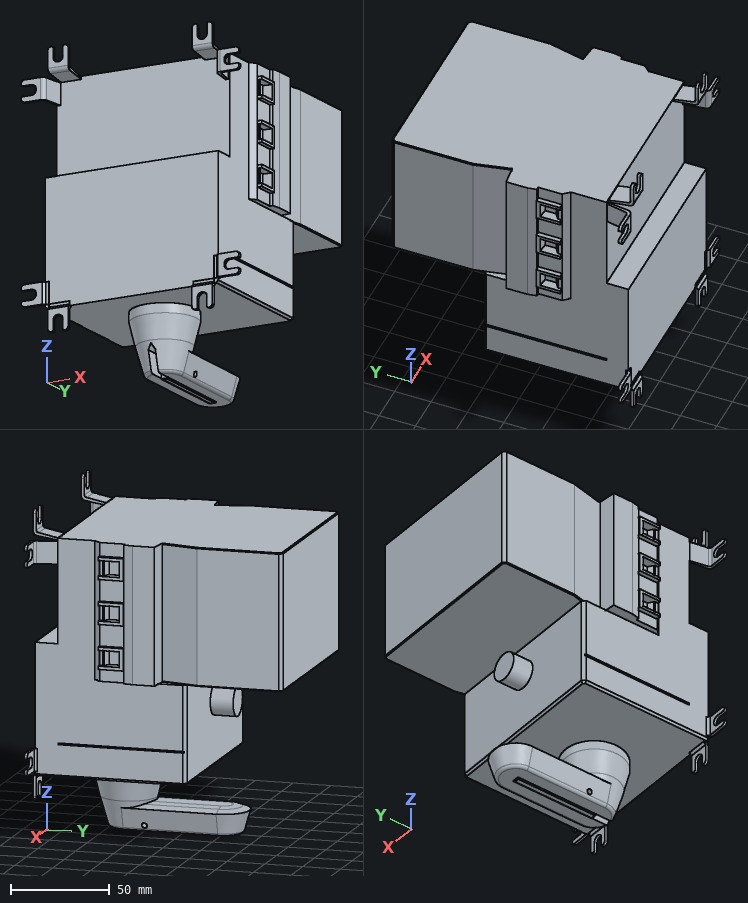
import cadquery as cq


overlap = 1.7

body_half_width = 50.0
body_top = 124.1
lower_back = 1.7
lower_front = 81.7
step_height = 69.4
upper_back = 13.8
corner_chamfer = 1.7
bottom_chamfer = 1.2

module_bottom = 52.1
module_height = body_top - module_bottom
cover_front = 132.5
cover_taper_start = 87.4
cover_taper_end = 67.7
cover_neck_half_width = 45.8
cover_edge_chamfer = 0.5
ledge_half_width = 55.8
ledge_front = 66.6
ledge_slope_start = 54.9
ledge_slope_half_width = 54.9
recess_front = 50.0
recess_back = 37.0
recess_half_width = 53.2
ledge_back = 33.5

terminal_count = 3
terminal_pitch = 23.3
terminal_height = 11.5
first_terminal_bottom = 58.9
frame_wall = 1.7
frame_front_wall = 1.9
pocket_front_slant = 0.9
ramp_front = 41.3
ramp_back = 39.4
shallow_floor = 53.3
sill_front = 38.8
sill_half_width = 53.9
deep_floor = 50.6

groove_height = 17.5
groove_width = 0.7
groove_depth = 0.5
groove_back = 14.0

button_diameter = 16.2
button_height = 34.4
button_front = 93.7

handle_y = 36.3
knob_radius = 18.1
collar_height = 5.2
waist_radius = 15.0
waist_z = -18.1
cone_height = 29.2
cone_end_radius = 10.4
handle_bottom = -(collar_height + cone_height)
handle_fillet = 2.0
lever_tip_y = 86.3
lever_top = -22.1
lever_length = lever_tip_y - handle_y
crown_height = 2.5
crown_run = 9.2
crown_mid_height = 1.7
crown_mid_run = 4.5
tab_width = 4.0
tab_bottom = -35.0
tab_chamfer = 0.5
slot_shoulder = -22.8
slot_apex = -19.7
lock_hole_diameter = 2.8
lock_hole_y = 47.8
lock_hole_z = -31.0

bracket_corner_x = 47.7
bracket_top_corner = 122.2
bracket_bottom_corner = 2.5
bracket_reach = 15.4
bracket_width = 11.9
bracket_thickness = 1.7
fork_gap = 5.5
fork_depth = 8.6
prong_outer_radius = 1.9
prong_inner_radius = 0.9
bracket_embed = 0.9
upper_leg_thickness = 1.2
upper_leg_rise = 2.0
upper_bend_radius = 2.5
upper_inner_radius = 1.4
lower_bend_start = 3.1
lower_foot_back = 1.4
lower_foot_slant = 1.7
lower_bend_offset = 0.7


def box(x0, x1, y0, y1, z0, z1):
    return cq.Workplane("XY").box(x1 - x0, y1 - y0, z1 - z0, centered=False).translate((x0, y0, z0))


def both_sides(shape):
    return shape.union(shape.mirror("YZ"))


def symmetric_prism(half_outline):
    """Upright prism of the upper module from the +X half of its outline."""
    mirrored = [(-x, y) for x, y in reversed(half_outline)]
    outline = cq.Workplane("XY", origin=(0, 0, module_bottom)).polyline(half_outline + mirrored)
    return outline.close().extrude(module_height)


def casing():
    lower = box(-body_half_width, body_half_width, lower_back, lower_front, 0, module_bottom)
    lower = lower.edges("|Z and >Y").chamfer(corner_chamfer)
    lower = lower.faces("<Z").edges("not <Y").chamfer(bottom_chamfer)
    upper_front = ledge_front - overlap
    step = box(-body_half_width, body_half_width, lower_back, upper_front, module_bottom, step_height)
    upper = box(-body_half_width, body_half_width, upper_back, upper_front, step_height, body_top)
    return lower.union(step).union(upper)


def cover():
    shape = symmetric_prism([
        (cover_neck_half_width, cover_taper_end),
        (body_half_width, cover_taper_start),
        (body_half_width, cover_front),
    ])
    shape = shape.edges("|Z and >Y").chamfer(corner_chamfer)
    return shape.edges("#Z except <Y").chamfer(cover_edge_chamfer)


def ledges():
    return symmetric_prism([
        (body_half_width, ledge_back),
        (recess_half_width, recess_back),
        (recess_half_width, recess_front),
        (ledge_slope_half_width, recess_front),
        (ledge_half_width, ledge_slope_start),
        (ledge_half_width, ledge_front),
        (cover_neck_half_width, cover_taper_end),
    ])


def terminal_frame(bottom):
    return box(recess_half_width - overlap, ledge_half_width, recess_back, recess_front,
               bottom, bottom + terminal_height)


def terminal_pocket(bottom):
    """Pocket with a deep floor, a ramp and a shallow floor open to the back."""
    outside = ledge_half_width + overlap
    floor = [
        (outside, recess_front - frame_front_wall),
        (deep_floor, recess_front - frame_front_wall - pocket_front_slant),
        (deep_floor, ramp_front),
        (shallow_floor, ramp_back),
        (shallow_floor, sill_front),
        (sill_half_width, sill_front),
        (sill_half_width, recess_back - overlap),
        (outside, recess_back - overlap),
    ]
    plane = cq.Workplane("XY", origin=(0, 0, bottom + frame_wall))
    return plane.polyline(floor).close().extrude(terminal_height - 2 * frame_wall)


def groove():
    return box(body_half_width - groove_depth, body_half_width + overlap, groove_back, lower_front + overlap,
               groove_height - groove_width / 2, groove_height + groove_width / 2)


def button():
    plane = cq.Workplane("XZ", origin=(0, button_front, button_height))
    return plane.circle(button_diameter / 2).extrude(button_front - lower_front + overlap)


def cone_radius(z):
    slope = (waist_radius - cone_end_radius) / (waist_z - handle_bottom)
    return cone_end_radius + slope * (z - handle_bottom)


def lever_layer(bottom, bottom_radius, top, top_radius, bend=None):
    """Round-ended layer of the lever; its flank is straight, or bent at the bend point."""

    def section(plane):
        outline = plane.moveTo(0, bottom).lineTo(bottom_radius, bottom)
        if bend:
            outline = outline.lineTo(*bend)
        return outline.lineTo(top_radius, top).lineTo(0, top).close()

    end = section(cq.Workplane("XZ")).revolve(360, (0, 0, 0), (0, 1, 0))
    half_bar = section(cq.Workplane("XZ", origin=(0, lever_tip_y, 0))).extrude(lever_length)
    ends = end.translate((0, handle_y, 0)).union(end.translate((0, lever_tip_y, 0)))
    return ends.union(both_sides(half_bar))


def handle():
    profile = [
        (0, overlap),
        (knob_radius, overlap),
        (knob_radius, -collar_height),
        (waist_radius, waist_z),
        (cone_end_radius, handle_bottom),
        (0, handle_bottom),
    ]
    knob = cq.Workplane("XZ").polyline(profile).close().revolve(360, (0, 0, 0), (0, 1, 0))
    knob = knob.translate((0, handle_y, 0))
    top_radius = cone_radius(lever_top)
    lever = lever_layer(handle_bottom, cone_end_radius, lever_top, top_radius)
    crown_bend = (top_radius - crown_mid_run, lever_top + crown_mid_height)
    crown = lever_layer(lever_top, top_radius, lever_top + crown_height, top_radius - crown_run, crown_bend)
    shape = knob.union(lever).union(crown)
    shape = shape.faces("<Z").edges().fillet(handle_fillet)
    slot_half = tab_width / 2
    slot_profile = [
        (-slot_half, tab_bottom),
        (slot_half, tab_bottom),
        (slot_half, slot_shoulder),
        (0, slot_apex),
        (-slot_half, slot_shoulder),
    ]
    slot = cq.Workplane("XZ", origin=(0, handle_y, 0)).polyline(slot_profile).close().extrude(knob_radius)
    tab = box(-slot_half, slot_half, handle_y, lever_tip_y, tab_bottom, lever_top)
    tab = tab.faces("<Z").edges().chamfer(tab_chamfer)
    hole = cq.Workplane("YZ", origin=(0, lock_hole_y, lock_hole_z)).circle(lock_hole_diameter / 2)
    return shape.cut(slot).union(tab).cut(hole.extrude(knob_radius, both=True))


def upper_bracket_section():
    """Plate with a sloping leg that reaches the set-in back of the upper module."""
    outer_bend = (upper_leg_rise, 0, bracket_width / 2)
    inner_bend = (upper_leg_rise + bracket_thickness, bracket_thickness, bracket_width / 2)
    leg_end = upper_back + bracket_embed
    section = cq.Workplane("XY").polyline([
        (bracket_reach, 0),
        (bracket_reach, bracket_thickness),
        inner_bend[:2],
        (upper_leg_thickness, leg_end),
        (0, leg_end),
        outer_bend[:2],
    ]).close().extrude(bracket_width)
    section = section.edges(cq.selectors.NearestToPointSelector(outer_bend)).fillet(upper_bend_radius)
    return section.edges(cq.selectors.NearestToPointSelector(inner_bend)).fillet(upper_inner_radius)


def lower_bracket_section():
    """Plate with a short slanted foot let into the back of the lower casing."""
    foot_end = lower_back + 2 * bracket_embed
    return cq.Workplane("XY").polyline([
        (bracket_reach, 0),
        (bracket_reach, bracket_thickness),
        (lower_bend_start + lower_bend_offset, bracket_thickness),
        (lower_bend_start + lower_bend_offset - lower_foot_slant, foot_end),
        (0, foot_end),
        (0, lower_foot_back),
        (lower_bend_start - lower_foot_back, lower_foot_back),
        (lower_bend_start, 0),
    ]).close().extrude(bracket_width)


def forked(bracket):
    """Cut the open slot and round the prongs of a bracket that reaches along +X."""
    bracket = bracket.edges("|Y and >X").fillet(prong_outer_radius)
    slot_length = 2 * fork_depth
    slot = cq.Workplane("XZ", origin=(bracket_reach, 0, bracket_width / 2))
    slot = slot.slot2D(slot_length, fork_gap).extrude(-bracket_thickness)
    return bracket.cut(slot).edges("|Y and >X").fillet(prong_inner_radius)


def corner_brackets(bracket):
    """One bracket reaching sideways and its twin reaching upwards, meeting at a corner."""
    upright = bracket.rotate((0, 0, 0), (0, 1, 0), -90)
    return bracket.translate((0, 0, -bracket_width)).union(upright)


def brackets():
    upper = corner_brackets(forked(upper_bracket_section()))
    upper = upper.translate((bracket_corner_x, 0, bracket_top_corner))
    lower = corner_brackets(forked(lower_bracket_section())).mirror("XY")
    lower = lower.translate((bracket_corner_x, 0, bracket_bottom_corner))
    return both_sides(upper.union(lower))


result = casing().union(cover()).union(ledges())
for level in range(terminal_count):
    bottom = first_terminal_bottom + level * terminal_pitch
    result = result.union(both_sides(terminal_frame(bottom)))
    result = result.cut(both_sides(terminal_pocket(bottom)))
result = result.cut(both_sides(groove())).union(button()).union(handle()).union(brackets())